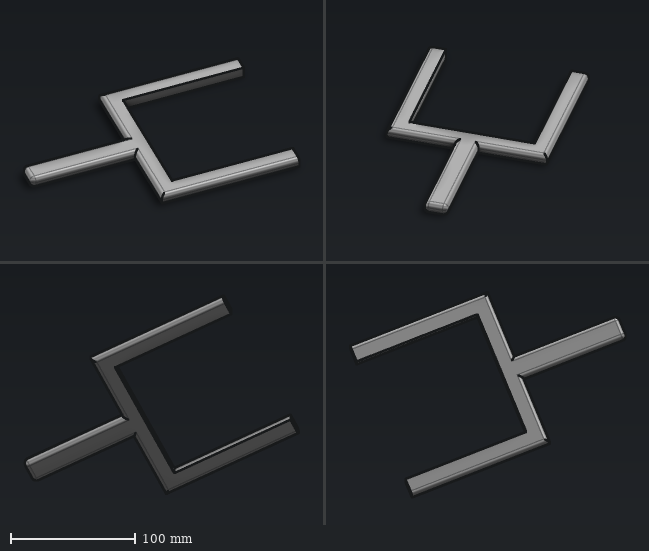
import cadquery as cq

total_length = 210.0
frame_width = 135.0
thickness = 10.0
bar_width = 15.0

handle_width = 20.0
handle_length = 90.0

edge_radius = 4.0
tolerance = 0.02

frame_length = total_length - handle_length
half_frame = frame_width / 2
half_handle = handle_width / 2
half_opening = half_frame - bar_width


def fork_plate():
    """Flat fork: two prongs toward +Y, a crossbar, and a handle toward -Y."""
    right_side = [
        (half_handle, -handle_length),
        (half_handle, 0),
        (half_frame, 0),
        (half_frame, frame_length),
        (half_opening, frame_length),
        (half_opening, bar_width),
    ]
    left_side = [(-x, y) for x, y in reversed(right_side)]
    return cq.Workplane("XY").polyline(right_side + left_side).close().extrude(thickness)


def is_rounded(edge):
    """True for edges of the handle, crossbar underside, outer prong sides and handle end corners."""
    center = edge.Center()
    on_handle_or_underside = center.y < tolerance
    on_outer_side = abs(center.x) > half_frame - tolerance
    if abs(center.z - thickness / 2) < tolerance:
        return center.y < -handle_length + tolerance
    return on_handle_or_underside or on_outer_side


plate = fork_plate()
result = plate.edges().filter(is_rounded).fillet(edge_radius)